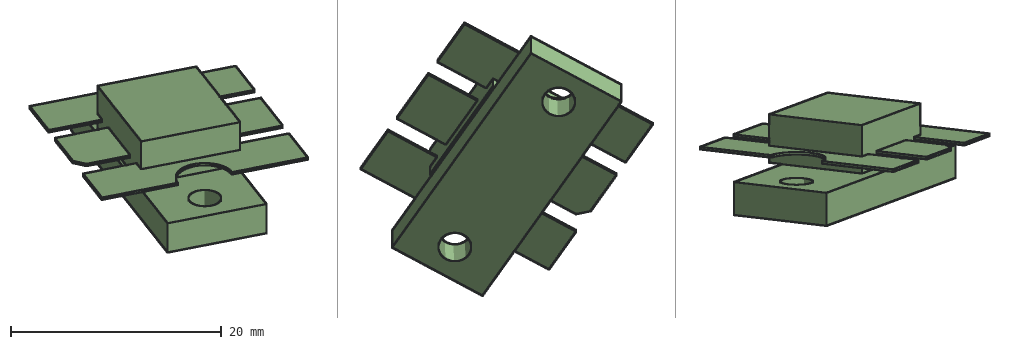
import cadquery as cq

flange_length = 25.1
body_depth = 10.1
flange_height = 3.21
hole_diameter = 3.1
hole_spacing = 18.75

pedestal_height = 0.6
pedestal_top_length = 5.07
pedestal_base_length = 6.17
pedestal_depth = 4.32

total_height = 8.5
body_length = 11.4
body_bottom = flange_height + pedestal_height

lead_span = 21.0
lead_bottom = 5.22
lead_thickness = 0.25
side_lead_width = 4.92
center_lead_width = 5.7
relief_diameter = 5.52
index_chamfer = 1.0

hole_centers = [(-hole_spacing / 2, 0), (hole_spacing / 2, 0)]


def make_flange():
    plate = cq.Workplane("XY").rect(flange_length, body_depth).extrude(flange_height)
    holes = cq.Workplane("XY").pushPoints(hole_centers).circle(hole_diameter / 2).extrude(flange_height)
    return plate.cut(holes)


def make_pedestal():
    half_base = pedestal_base_length / 2
    half_top = pedestal_top_length / 2
    profile = [
        (-half_base, flange_height),
        (half_base, flange_height),
        (half_top, body_bottom),
        (-half_top, body_bottom),
    ]
    return cq.Workplane("XZ").polyline(profile).close().extrude(pedestal_depth / 2, both=True)


def make_body():
    base = cq.Workplane("XY").workplane(offset=body_bottom)
    return base.rect(body_length, body_depth).extrude(total_height - body_bottom)


def make_side_leads():
    lead_x = (hole_spacing - side_lead_width) / 2
    base = cq.Workplane("XY").workplane(offset=lead_bottom)
    lead_centers = [(-lead_x, 0), (lead_x, 0)]
    strips = base.pushPoints(lead_centers).rect(side_lead_width, lead_span).extrude(lead_thickness)
    reliefs = base.pushPoints(hole_centers).circle(relief_diameter / 2).extrude(lead_thickness)
    return strips.cut(reliefs)


def make_center_lead():
    base = cq.Workplane("XY").workplane(offset=lead_bottom)
    strip = base.rect(center_lead_width, lead_span).extrude(lead_thickness)
    return strip.edges("|Z and >X and <Y").chamfer(index_chamfer)


result = (
    make_flange()
    .union(make_pedestal())
    .union(make_body())
    .union(make_side_leads())
    .union(make_center_lead())
)